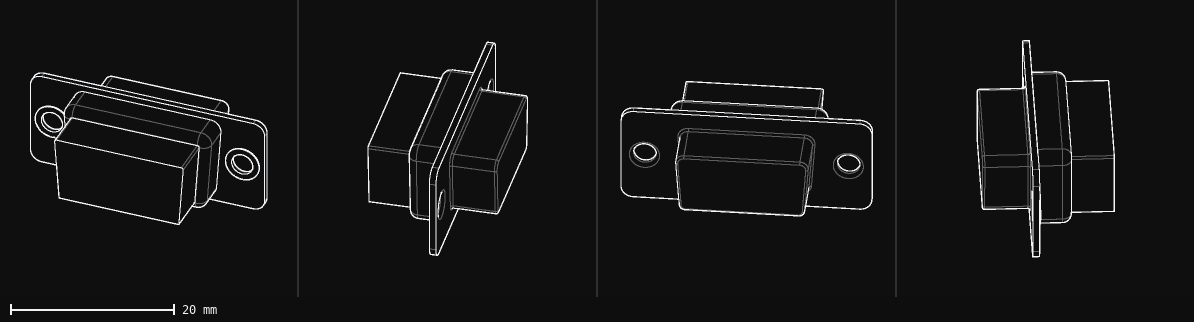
import cadquery as cq
import math


OVERALL_DEPTH = 16.1

FLANGE_WIDTH = 30.8
FLANGE_HEIGHT = 12.55
FLANGE_THICKNESS = 0.83
FLANGE_CORNER_RADIUS = 1.5

HOLE_SPACING = 25.02
HOLE_DIAMETER = 2.77
HOLE_REAR_RADIUS = 0.45
RING_DIAMETER = 4.45
RING_HEIGHT = 0.15
HOLE_CENTRES = [(-HOLE_SPACING / 2, 0), (HOLE_SPACING / 2, 0)]

SIDE_TAPER = math.radians(4.0)

BOSS_MID_WIDTH = 18.75
BOSS_HEIGHT = 10.85
BOSS_DEPTH = 4.2
BOSS_RIM_RADIUS = 1.15
BOSS_TOP_CORNER_RADIUS = 1.42
BOSS_BOTTOM_CORNER_RADIUS = BOSS_RIM_RADIUS

SHROUD_MID_WIDTH = 15.87
SHROUD_HEIGHT = 7.9
SHROUD_LENGTH = 5.85
SHROUD_TOP_CORNER_RADIUS = 1.02
SHROUD_BOTTOM_CORNER_RADIUS = 0.75
SHROUD_EDGE_RADIUS = 0.28

RIM_LEDGE = 0.05
BLOCK_INSET = BOSS_RIM_RADIUS + RIM_LEDGE
BLOCK_MID_WIDTH = BOSS_MID_WIDTH - 2 * BLOCK_INSET / math.cos(SIDE_TAPER)
BLOCK_HEIGHT = BOSS_HEIGHT - 2 * BLOCK_INSET
BLOCK_LENGTH = OVERALL_DEPTH - SHROUD_LENGTH - FLANGE_THICKNESS - BOSS_DEPTH
BLOCK_TOP_CORNER_RADIUS = 0.25


def front_plane(y):
    """Workplane at the given Y, facing -Y, with +X right and +Z up."""
    return cq.Workplane("XZ", origin=(0, y, 0))


def d_prism(y_back, length, mid_width, height, top_radius):
    """D-shaped prism running from y_back toward -Y, with its two upper corners rounded."""
    flare = height / 2 * math.tan(SIDE_TAPER)
    top_x = mid_width / 2 + flare
    bottom_x = mid_width / 2 - flare
    outline = [
        (-top_x, height / 2),
        (top_x, height / 2),
        (bottom_x, -height / 2),
        (-bottom_x, -height / 2),
    ]
    prism = front_plane(y_back).polyline(outline).close().extrude(length)
    return prism.edges("|Y and >Z").fillet(top_radius)


def make_flange():
    plate = (
        front_plane(FLANGE_THICKNESS)
        .rect(FLANGE_WIDTH, FLANGE_HEIGHT)
        .pushPoints(HOLE_CENTRES)
        .circle(HOLE_DIAMETER / 2)
        .extrude(FLANGE_THICKNESS)
    )
    plate = plate.faces(">Y").edges("%CIRCLE").fillet(HOLE_REAR_RADIUS)
    return plate.edges("|Y and (<X or >X)").fillet(FLANGE_CORNER_RADIUS)


def make_rings():
    discs = front_plane(0).pushPoints(HOLE_CENTRES).circle(RING_DIAMETER / 2).extrude(RING_HEIGHT)
    bores = front_plane(0).pushPoints(HOLE_CENTRES).circle(HOLE_DIAMETER / 2).extrude(RING_HEIGHT)
    return discs.cut(bores)


def make_boss():
    boss = d_prism(0, BOSS_DEPTH, BOSS_MID_WIDTH, BOSS_HEIGHT, BOSS_TOP_CORNER_RADIUS)
    boss = boss.edges("|Y and <Z").fillet(BOSS_BOTTOM_CORNER_RADIUS)
    return boss.faces("<Y").edges().fillet(BOSS_RIM_RADIUS)


def make_shroud():
    y_end = FLANGE_THICKNESS + SHROUD_LENGTH
    shroud = d_prism(y_end, SHROUD_LENGTH, SHROUD_MID_WIDTH, SHROUD_HEIGHT, SHROUD_TOP_CORNER_RADIUS)
    shroud = shroud.edges("|Y and <Z").fillet(SHROUD_BOTTOM_CORNER_RADIUS)
    return shroud.faces(">Y").edges().fillet(SHROUD_EDGE_RADIUS)


def round_shroud_root(shell):
    """Fillet the edges where the shroud meets the rear face of the flange."""
    reach_x = BOSS_MID_WIDTH / 2
    reach_z = BOSS_HEIGHT / 2
    slack_y = 0.03
    root_edges = cq.selectors.BoxSelector(
        (-reach_x, FLANGE_THICKNESS - slack_y, -reach_z),
        (reach_x, FLANGE_THICKNESS + slack_y, reach_z),
    )
    return shell.edges(root_edges).fillet(SHROUD_EDGE_RADIUS)


def make_shell():
    shell = round_shroud_root(make_flange().union(make_shroud()))
    return shell.union(make_boss()).union(make_rings())


def make_insulator():
    return d_prism(-BOSS_DEPTH, BLOCK_LENGTH, BLOCK_MID_WIDTH, BLOCK_HEIGHT, BLOCK_TOP_CORNER_RADIUS)


shell = make_shell()
insulator = make_insulator()

result = cq.Compound.makeCompound([shell.val(), insulator.val()])